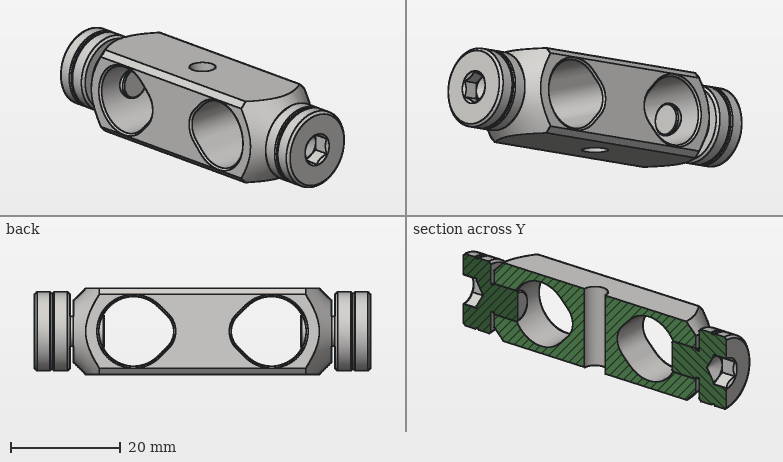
import cadquery as cq
import math

OVERALL_LENGTH = 61.3
KNOB_LENGTH = 6.5
NECK_GAP = 0.6

HOUSING_WIDTH = 15.75
HOUSING_LENGTH = OVERALL_LENGTH - 2 * (KNOB_LENGTH + NECK_GAP)
EDGE_CHAMFER = 1.1
END_FACE_DIAMETER = 11.3
CENTRE_HOLE_DIAMETER = 4.8

POST_BORE_DIAMETER = 12.7
POST_BORE_OFFSET = 12.6
VEE_ROOT_RADIUS = 4.0
POST_BORE_CHAMFER = 0.35

KNOB_DIAMETER = 14.5
KNOB_CHAMFER = 0.5
GROOVE_FLOOR_DIAMETER = 14.0
GROOVE_FLOOR_WIDTH = 0.35
GROOVE_OFFSET = 3.2
NECK_DIAMETER = 5.5
THREAD_DIAMETER = 6.0
THREAD_TIP_CHAMFER = 0.25
THREAD_TIP_X = 17.9
SCREW_LENGTH = OVERALL_LENGTH / 2 - THREAD_TIP_X

SOCKET_ACROSS_FLATS = 5.0
SOCKET_MOUTH_DIAMETER = 6.0
SOCKET_DEPTH = 3.05
DRILL_POINT_ANGLE = 118.0


def post_bore_outline():
    """Post bore outline on XZ, centred on the post, with the vee pointing along +X."""
    bore_radius = POST_BORE_DIAMETER / 2
    diagonal = math.sqrt(0.5)
    root_centre = (bore_radius - VEE_ROOT_RADIUS) / diagonal
    bore_tangent = bore_radius * diagonal
    root_tangent_x = root_centre + VEE_ROOT_RADIUS * diagonal
    root_tangent_z = VEE_ROOT_RADIUS * diagonal
    return (
        cq.Workplane("XZ")
        .moveTo(bore_tangent, bore_tangent)
        .threePointArc((-bore_radius, 0), (bore_tangent, -bore_tangent))
        .lineTo(root_tangent_x, -root_tangent_z)
        .threePointArc((root_centre + VEE_ROOT_RADIUS, 0), (root_tangent_x, root_tangent_z))
        .close()
    )


def post_bore_cutter():
    """Through bore along Y, vee towards +X, flaring out at both housing faces."""
    half_width = HOUSING_WIDTH / 2
    bore = post_bore_outline().extrude(half_width, both=True)
    flare = (
        post_bore_outline()
        .offset2D(POST_BORE_CHAMFER)
        .extrude(-POST_BORE_CHAMFER, taper=45)
        .translate((0, -half_width, 0))
    )
    return bore.union(flare).union(flare.mirror("XZ"))


def conical_ends_envelope():
    """Solid of revolution about X whose 45 degree cones trim the housing ends."""
    half_length = HOUSING_LENGTH / 2
    end_radius = END_FACE_DIAMETER / 2
    return (
        cq.Workplane("XY")
        .moveTo(-half_length, 0)
        .lineTo(-half_length, end_radius)
        .lineTo(0, end_radius + half_length)
        .lineTo(half_length, end_radius)
        .lineTo(half_length, 0)
        .close()
        .revolve(360, (0, 0, 0), (1, 0, 0))
    )


def make_housing():
    housing = (
        cq.Workplane("XY")
        .box(HOUSING_LENGTH, HOUSING_WIDTH, HOUSING_WIDTH)
        .edges("|X")
        .chamfer(EDGE_CHAMFER)
        .intersect(conical_ends_envelope())
    )
    post_bore = post_bore_cutter().translate((-POST_BORE_OFFSET, 0, 0))
    screw_bore = (
        cq.Workplane("YZ")
        .circle(THREAD_DIAMETER / 2)
        .extrude(HOUSING_LENGTH / 2 - POST_BORE_OFFSET)
        .translate((-HOUSING_LENGTH / 2, 0, 0))
    )
    centre_hole = cq.Workplane("XY").circle(CENTRE_HOLE_DIAMETER / 2).extrude(HOUSING_WIDTH / 2, both=True)
    side_cut = post_bore.union(screw_bore)
    return housing.cut(side_cut).cut(side_cut.mirror("YZ")).cut(centre_hole)


def screw_body():
    """Knob, neck and thread turned about X, with the knob's outer face at X = 0."""
    knob_radius = KNOB_DIAMETER / 2
    face_radius = knob_radius - KNOB_CHAMFER
    floor_radius = GROOVE_FLOOR_DIAMETER / 2
    neck_radius = NECK_DIAMETER / 2
    thread_radius = THREAD_DIAMETER / 2
    half_floor = GROOVE_FLOOR_WIDTH / 2
    half_groove = half_floor + knob_radius - floor_radius
    thread_start = KNOB_LENGTH + NECK_GAP
    return (
        cq.Workplane("XY")
        .moveTo(0, 0)
        .lineTo(0, face_radius)
        .lineTo(KNOB_CHAMFER, knob_radius)
        .lineTo(GROOVE_OFFSET - half_groove, knob_radius)
        .lineTo(GROOVE_OFFSET - half_floor, floor_radius)
        .lineTo(GROOVE_OFFSET + half_floor, floor_radius)
        .lineTo(GROOVE_OFFSET + half_groove, knob_radius)
        .lineTo(KNOB_LENGTH - KNOB_CHAMFER, knob_radius)
        .lineTo(KNOB_LENGTH, face_radius)
        .lineTo(KNOB_LENGTH, neck_radius)
        .lineTo(thread_start, neck_radius)
        .lineTo(thread_start, thread_radius)
        .lineTo(SCREW_LENGTH - THREAD_TIP_CHAMFER, thread_radius)
        .lineTo(SCREW_LENGTH, thread_radius - THREAD_TIP_CHAMFER)
        .lineTo(SCREW_LENGTH, 0)
        .close()
        .revolve(360, (0, 0, 0), (1, 0, 0))
    )


def socket_cutter():
    """Hex socket with a countersunk mouth and a drill point, entering along +X from X = 0."""
    flat_radius = SOCKET_ACROSS_FLATS / 2
    mouth_radius = SOCKET_MOUTH_DIAMETER / 2
    point_depth = flat_radius / math.tan(math.radians(DRILL_POINT_ANGLE / 2))
    hexagon = (
        cq.Workplane("YZ")
        .polygon(6, SOCKET_ACROSS_FLATS, circumscribed=True)
        .extrude(SOCKET_DEPTH)
    )
    drilling = (
        cq.Workplane("XY")
        .lineTo(0, mouth_radius)
        .lineTo(mouth_radius - flat_radius, flat_radius)
        .lineTo(SOCKET_DEPTH, flat_radius)
        .lineTo(SOCKET_DEPTH + point_depth, 0)
        .close()
        .revolve(360, (0, 0, 0), (1, 0, 0))
    )
    return hexagon.union(drilling)


def make_thumbscrew(turn):
    """Thumbscrew in its bore: at the -X end, turned about Z by the given angle."""
    screw = screw_body().cut(socket_cutter()).translate((-OVERALL_LENGTH / 2, 0, 0))
    return screw.rotate((0, 0, 0), (0, 0, 1), turn)


housing = make_housing()
thumbscrews = [make_thumbscrew(turn) for turn in (0, 180)]

result = cq.Compound.makeCompound([housing.val(), *[screw.val() for screw in thumbscrews]])